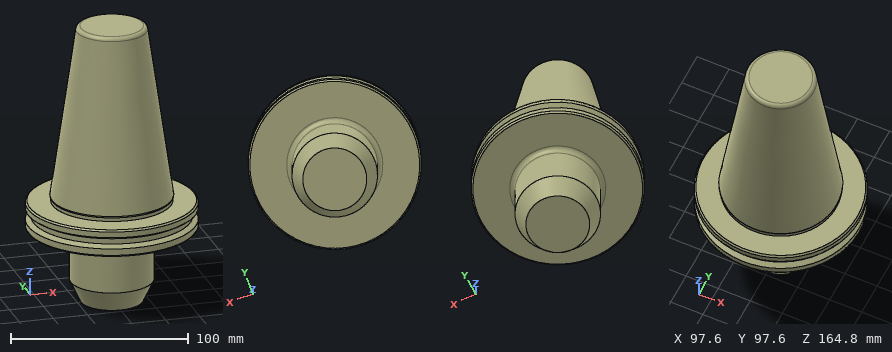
import cadquery as cq
import math

total_height = 164.8
gauge_height = 63.0
gauge_radius = 35.0
taper_ratio = 7 / 24
top_rounding = 2.5

neck_radius = 34.5
neck_bevel_height = 1.0

flange_radius = 48.8
flange_bottom = 43.8
flange_top = 59.8
rim_chamfer = 1.0
groove_center = 52.0
groove_floor_radius = 45.6
groove_width = 6.8
groove_side_angle = math.radians(30)

nose_radius = 24.0
nose_tip_radius = 18.0
nose_cone_height = 12.9
nose_fillet = 3.0


def revolve_profile(points):
    """Revolve a closed outline of (radius, height) points about Z."""
    return cq.Workplane("XZ").polyline(points).close().revolve(360, (0, 0, 0), (0, 1, 0))


def make_shank():
    top_radius = gauge_radius - (total_height - gauge_height) * taper_ratio / 2
    shank = revolve_profile([
        (0, flange_bottom),
        (neck_radius, flange_bottom),
        (neck_radius, gauge_height - neck_bevel_height),
        (gauge_radius, gauge_height),
        (top_radius, total_height),
        (0, total_height),
    ])
    return shank.faces(">Z").edges().fillet(top_rounding)


def make_flange():
    thickness = flange_top - flange_bottom
    flange = cq.Workplane("XY").workplane(offset=flange_bottom).circle(flange_radius).extrude(thickness)
    flange = flange.faces("<Z or >Z").edges().chamfer(rim_chamfer)
    half_mouth = groove_width / 2
    half_floor = half_mouth - (flange_radius - groove_floor_radius) * math.tan(groove_side_angle)
    groove = revolve_profile([
        (flange_radius, groove_center - half_mouth),
        (groove_floor_radius, groove_center - half_floor),
        (groove_floor_radius, groove_center + half_floor),
        (flange_radius, groove_center + half_mouth),
    ])
    return flange.cut(groove)


def make_nose():
    """Cylindrical nose with a conical tip and a fillet flaring into the flange."""
    flare_radius = nose_radius + nose_fillet
    arc_offset = nose_fillet * math.sqrt(0.5)
    arc_middle = (flare_radius - arc_offset, flange_bottom - nose_fillet + arc_offset)
    profile = (
        cq.Workplane("XZ")
        .lineTo(nose_tip_radius, 0)
        .lineTo(nose_radius, nose_cone_height)
        .lineTo(nose_radius, flange_bottom - nose_fillet)
        .threePointArc(arc_middle, (flare_radius, flange_bottom))
        .lineTo(0, flange_bottom)
        .close()
    )
    return profile.revolve(360, (0, 0, 0), (0, 1, 0))


result = make_shank().union(make_flange()).union(make_nose())